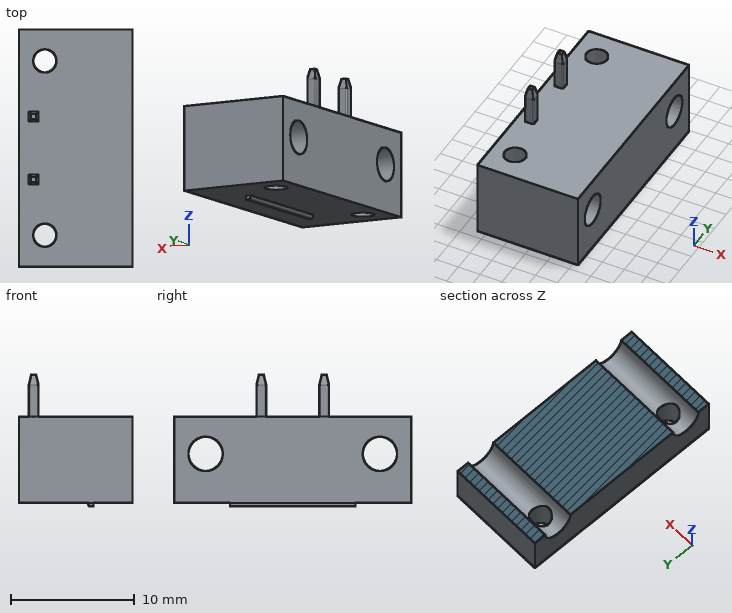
import cadquery as cq

body_length_x = 9.2
body_width_y = 19.18
body_height = 6.95
left_face_x = -body_length_x / 2

pin_pitch = 5.08
pin_width = 0.8
pin_height = 3.4
pin_corner_radius = 0.1
pin_tip_width = 0.4
pin_tip_height = 0.85
pin_x = left_face_x + 1.2

hole_offset_y = 7.04
cross_hole_diameter = 2.75
cross_hole_depth_from_top = 3.0
vertical_hole_diameter = 1.85
vertical_hole_x = left_face_x + 2.1

rib_length_y = 2 * pin_pitch
rib_width = 0.45
rib_height = 0.3
rib_edge_radius = 0.2
rib_left_x = left_face_x + 5.6


def make_body():
    """Plain rectangular block."""
    return cq.Workplane("XY").box(body_length_x, body_width_y, body_height, centered=(True, True, False))


def make_pin(y):
    """Square pin with rounded corners and a four-sided tapered tip, rooted at mid-height of the block."""
    root_z = body_height / 2
    tip_base_z = body_height + pin_height - pin_tip_height
    shank_height = tip_base_z - root_z
    square_shank = (
        cq.Workplane("XY", origin=(pin_x, y, root_z))
        .rect(pin_width, pin_width)
        .extrude(shank_height)
    )
    tip = (
        cq.Workplane("XY", origin=(pin_x, y, tip_base_z))
        .rect(pin_width, pin_width)
        .workplane(offset=pin_tip_height)
        .rect(pin_tip_width, pin_tip_width)
        .loft(ruled=True)
    )
    rounded_bar = (
        cq.Workplane("XY", origin=(pin_x, y, root_z))
        .rect(pin_width, pin_width)
        .extrude(shank_height + pin_tip_height)
        .edges("|Z")
        .fillet(pin_corner_radius)
    )
    return square_shank.union(tip).intersect(rounded_bar)


def make_mounting_holes(y):
    """Hole along X and a smaller vertical hole crossing it, both going right through the block."""
    cross_hole_z = body_height - cross_hole_depth_from_top
    cross_hole = (
        cq.Workplane("YZ", origin=(left_face_x, y, cross_hole_z))
        .circle(cross_hole_diameter / 2)
        .extrude(body_length_x)
    )
    vertical_hole = (
        cq.Workplane("XY", origin=(vertical_hole_x, y, 0))
        .circle(vertical_hole_diameter / 2)
        .extrude(body_height)
    )
    return cross_hole.union(vertical_hole)


def make_rib():
    """Narrow rib along Y below the block, with its lower left edge rounded."""
    return (
        cq.Workplane("XY", origin=(rib_left_x + rib_width / 2, 0, -rib_height))
        .box(rib_width, rib_length_y, rib_height, centered=(True, True, False))
        .edges("|Y and <X and <Z")
        .fillet(rib_edge_radius)
    )


result = make_body().union(make_rib())
for side in (-1, 1):
    result = result.cut(make_mounting_holes(side * hole_offset_y))
    result = result.union(make_pin(side * pin_pitch / 2))